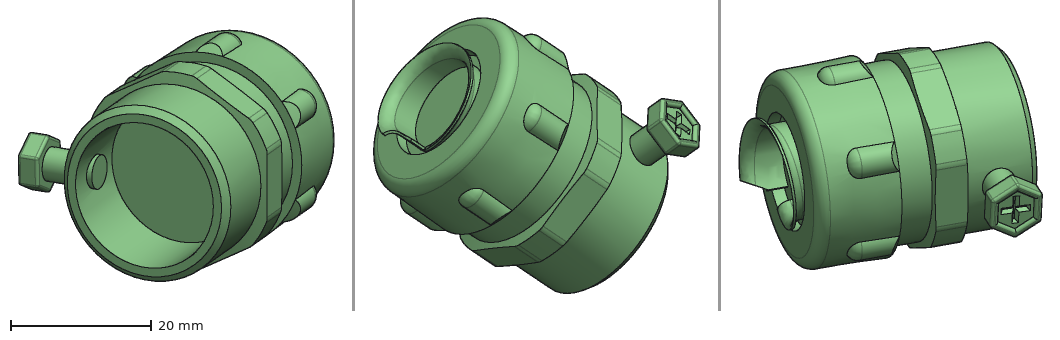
import cadquery as cq
import math


HEXAGON_SIDES = 6

BODY_DIA = 26.4
BORE_DIA = 21.8
BORE_DEPTH = 11.9
MOUTH_CHAMFER = 1.0

FLANGE_FRONT = 10.85
FLANGE_BACK = 16.1
FLANGE_FLATS = 28.1
FLANGE_CORNER_DIA = 29.95
FLANGE_CORNER_BLEND = 2.3
FLANGE_BEVEL = 0.3

CAP_FRONT = 21.2
CAP_BACK = 33.75
CAP_FRONT_DIA = 29.33
CAP_BACK_DIA = 28.8
CAP_ROUND = 1.9
CAP_END_WALL = 1.9
CAP_MOUTH_DIA = 17.2
SEAT = CAP_BACK - CAP_END_WALL

RIB_COUNT = 6
RIB_DIA = 4.8
RIB_TIP_RADIUS = 15.8
RIB_BACK = 28.75
RIB_ROUND = 1.8

SCREW_Y = 6.07
SHANK_DIA = 5.0
SHANK_TIP_X = -10.05
HEAD_OUTER_X = -21.15
HEAD_THICKNESS = 3.25
HEAD_FLATS = 7.7
HEAD_ROUND = 0.45
HEAD_TURN = 2.7
RECESS_FLATS = 5.42
RECESS_DEPTH = 0.57
RECESS_ROUND = 0.5
CROSS_LENGTH = 4.43
CROSS_WIDTH = 1.0
CROSS_DEPTH = 0.7
CROSS_DRAFT = 30.0

FERRULE_OUTER_DIA = 14.2
FERRULE_INNER_DIA = 13.4
LIP_DIA = 16.57
FLARE_HEIGHT = 1.8
LIP_PITCH = 4.65
LIP_START_Y = 34.0
LIP_START_ANGLE = 70.0
LIP_SWEEP = 341.0
LIP_END = (7.03, 38.2, -4.6)
LIP_END_RADIAL = (0.85, 0, -0.53)
LIP_END_CUT_DIRECTION = (-0.35, 0.45, -0.82)
LIP_END_CUT_SIZE = 7.65


def hexagon_diameter(flats):
    """Corner-to-corner size of a hexagon with the given distance across its flats."""
    return flats * 2 / math.sqrt(3)


def along_y(start, length, diameter):
    """Cylinder on the main axis."""
    plane = cq.Plane(origin=(0, start, 0), xDir=(1, 0, 0), normal=(0, 1, 0))
    return cq.Workplane(plane).circle(diameter / 2).extrude(length)


def turned(points):
    """Solid turned about the main axis from (radius, y) points."""
    return cq.Workplane("XY").polyline(points).close().revolve(360, (0, 0, 0), (0, 1, 0))


def make_flange():
    """Hexagon with rounded corners, bevelled on both faces."""
    width = FLANGE_BACK - FLANGE_FRONT
    plane = cq.Plane(origin=(0, FLANGE_FRONT, 0), xDir=(0, 0, 1), normal=(0, 1, 0))
    flange = cq.Workplane(plane).polygon(HEXAGON_SIDES, hexagon_diameter(FLANGE_FLATS)).extrude(width)
    flange = flange.intersect(along_y(FLANGE_FRONT, width, FLANGE_CORNER_DIA))
    flange = flange.edges("|Y").fillet(FLANGE_CORNER_BLEND)
    inner = BODY_DIA / 2
    outer = FLANGE_CORNER_DIA / 2
    bevelled = turned([
        (0, FLANGE_FRONT),
        (inner, FLANGE_FRONT),
        (outer, FLANGE_FRONT + FLANGE_BEVEL),
        (outer, FLANGE_BACK - FLANGE_BEVEL),
        (inner, FLANGE_BACK),
        (0, FLANGE_BACK),
    ])
    return flange.intersect(bevelled)


def make_shank():
    """Plain shank, also used to cut its own hole in the housing."""
    head_inner_x = HEAD_OUTER_X + HEAD_THICKNESS
    plane = cq.Workplane("YZ", origin=(head_inner_x, SCREW_Y, 0))
    return plane.circle(SHANK_DIA / 2).extrude(SHANK_TIP_X - head_inner_x)


def make_housing():
    barrel = along_y(0, SEAT, BODY_DIA).faces("<Y").chamfer(MOUTH_CHAMFER)
    bore = along_y(0, BORE_DEPTH, BORE_DIA)
    return barrel.union(make_flange()).cut(bore).cut(make_shank())


def make_rib():
    """Round rib at the top of the cap, bevelled down to the cap's front edge."""
    axis_radius = RIB_TIP_RADIUS - RIB_DIA / 2
    plane = cq.Plane(origin=(0, CAP_FRONT, axis_radius), xDir=(1, 0, 0), normal=(0, 1, 0))
    rib = cq.Workplane(plane).circle(RIB_DIA / 2).extrude(RIB_BACK - CAP_FRONT)
    rib = rib.faces(">Y").edges().fillet(RIB_ROUND)
    bevel_start = CAP_FRONT_DIA / 2
    rise = RIB_TIP_RADIUS - bevel_start
    envelope = turned([
        (0, CAP_FRONT),
        (bevel_start, CAP_FRONT),
        (RIB_TIP_RADIUS, CAP_FRONT + rise),
        (RIB_TIP_RADIUS, RIB_BACK),
        (0, RIB_BACK),
    ])
    return rib.intersect(envelope)


def make_cap():
    cap = turned([
        (0, CAP_FRONT),
        (CAP_FRONT_DIA / 2, CAP_FRONT),
        (CAP_BACK_DIA / 2, CAP_BACK),
        (0, CAP_BACK),
    ])
    cap = cap.faces(">Y").edges().fillet(CAP_ROUND)
    rib = make_rib()
    for index in range(RIB_COUNT):
        cap = cap.union(rib.rotate((0, 0, 0), (0, 1, 0), index * 360 / RIB_COUNT))
    cap = cap.cut(along_y(CAP_FRONT, SEAT - CAP_FRONT, BODY_DIA))
    return cap.cut(along_y(SEAT, CAP_END_WALL, CAP_MOUTH_DIA))


def about_screw(shape, angle):
    """The shape turned about the screw's axis."""
    return shape.rotate((0, SCREW_Y, 0), (1, SCREW_Y, 0), angle)


def head_hexagon(flats, length):
    """Hexagonal prism from the head's outer face inwards, with corners pointing up and down."""
    plane = cq.Workplane("YZ", origin=(HEAD_OUTER_X, SCREW_Y, 0))
    prism = plane.polygon(HEXAGON_SIDES, hexagon_diameter(flats)).extrude(length)
    return about_screw(prism, 180 / HEXAGON_SIDES)


def make_screw():
    head = head_hexagon(HEAD_FLATS, HEAD_THICKNESS).edges().fillet(HEAD_ROUND)
    head = head.cut(head_hexagon(RECESS_FLATS, RECESS_DEPTH))
    recess_rim = head.faces("<X").val().innerWires()[0]
    head = head.newObject(recess_rim.Edges()).fillet(RECESS_ROUND)
    floor = cq.Workplane("YZ", origin=(HEAD_OUTER_X + RECESS_DEPTH, SCREW_Y, 0))
    for length, height in ((CROSS_LENGTH, CROSS_WIDTH), (CROSS_WIDTH, CROSS_LENGTH)):
        head = head.cut(floor.rect(length, height).extrude(CROSS_DEPTH, taper=CROSS_DRAFT))
    head = about_screw(head, HEAD_TURN)
    return head.union(make_shank())


def make_ferrule():
    inner = FERRULE_INNER_DIA / 2
    outer = FERRULE_OUTER_DIA / 2
    lip = LIP_DIA / 2
    wall = outer - inner
    climb = LIP_PITCH * LIP_SWEEP / 360
    wall_height = climb + LIP_START_Y - SEAT
    inside_radius = ((lip - inner) ** 2 + FLARE_HEIGHT ** 2) / (2 * (lip - inner))
    outside_radius = inside_radius - wall
    section = (
        cq.Workplane("XZ")
        .moveTo(lip, 0)
        .radiusArc((inner, -FLARE_HEIGHT), -inside_radius)
        .lineTo(inner, -FLARE_HEIGHT - wall_height)
        .lineTo(outer, -FLARE_HEIGHT - wall_height)
        .lineTo(outer, -FLARE_HEIGHT)
        .radiusArc((lip, -wall), outside_radius)
        .close()
    )
    helix = cq.Wire.makeHelix(LIP_PITCH, climb, lip)
    strip = section.sweep(cq.Workplane(obj=helix), isFrenet=True)
    strip = strip.rotate((0, 0, 0), (0, 0, 1), LIP_START_ANGLE)
    strip = strip.rotate((0, 0, 0), (1, 0, 0), -90).translate((0, LIP_START_Y, 0))
    depth = wall_height + FLARE_HEIGHT
    strip = strip.cut(along_y(SEAT - depth, depth, LIP_DIA))
    end_plane = cq.Plane(origin=LIP_END, xDir=LIP_END_RADIAL, normal=LIP_END_CUT_DIRECTION)
    end_cut = cq.Workplane(end_plane).rect(LIP_END_CUT_SIZE, LIP_END_CUT_SIZE).extrude(LIP_END_CUT_SIZE)
    return strip.cut(end_cut)


housing = make_housing()
cap = make_cap()
screw = make_screw()
ferrule = make_ferrule()

result = cq.Compound.makeCompound([housing.val(), cap.val(), screw.val(), ferrule.val()])